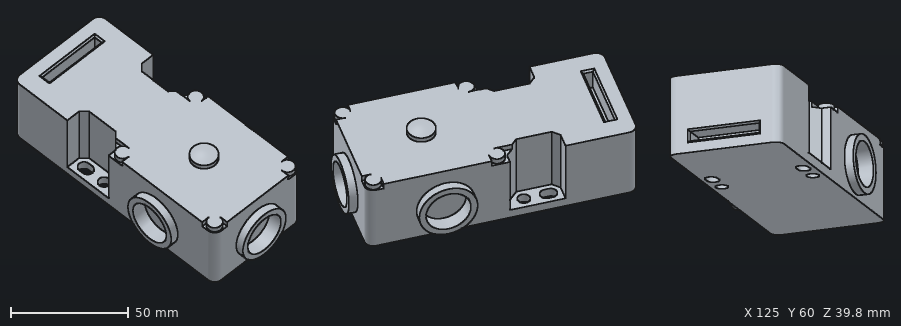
import cadquery as cq

port_projection = 4.0
total_length = 125.0
total_width = 60.0
total_height = 39.8
body_length = total_length - port_projection
body_width = total_width - 2 * port_projection
body_height = 35.0
corner_radius = 4.0
side_y = body_width / 2

port_diameter = 26.0
port_bore_diameter = 20.0
port_bore_depth = 7.0
port_x = 85.9
port_z = 15.0

slot_length = 31.6
slot_width = 4.2
slot_chamfer = 0.9
slot_depth = 10.0
top_slot_x = 9.5
end_slot_z = 7.5

recess_start = 32.5
recess_end = 57.2
recess_depth = 10.1
recess_start_chamfer = 3.0
recess_end_chamfer = 5.9
flange_thickness = 4.5
mount_hole_diameter = 5.5
mount_slot_length = 7.6
mount_slot_x = 38.5
mount_hole_x = 49.5
mount_inset = 5.1

screw_radius = 3.5
screw_height = 2.6
cover_screw_inset = 4.0
middle_screw_x = 61.9
end_screw_x = body_length - cover_screw_inset
head_screw_x = 27.5
head_screw_inset = 6.0

lamp_diameter = 12.5
lamp_x = 88.8
lamp_rim_height = 2.2
lamp_gap = 0.4
lamp_base_z = body_height + lamp_gap
lamp_height = total_height - lamp_base_z


def block():
    return (
        cq.Workplane("XY")
        .box(body_length, body_width, body_height, centered=(False, True, False))
        .edges("|Z")
        .fillet(corner_radius)
    )


def port_planes():
    """Planes on the outer ends of the three ports, facing away from the housing."""
    y_end = total_width / 2
    return [
        cq.Plane((port_x, -y_end, port_z), (1, 0, 0), (0, -1, 0)),
        cq.Plane((port_x, y_end, port_z), (1, 0, 0), (0, 1, 0)),
        cq.Plane((total_length, 0, port_z), (0, 1, 0), (1, 0, 0)),
    ]


def port_collar(plane):
    return cq.Workplane(plane).circle(port_diameter / 2).extrude(-port_projection)


def port_bore(plane):
    return cq.Workplane(plane).circle(port_bore_diameter / 2).extrude(-port_bore_depth)


def key_slot(plane):
    """Slot with a chamfered mouth; the plane faces outward, its x axis along the slot."""
    mouth_length = slot_length + 2 * slot_chamfer
    mouth_width = slot_width + 2 * slot_chamfer
    mouth = (
        cq.Workplane(plane)
        .rect(mouth_length, mouth_width)
        .workplane(offset=-slot_chamfer)
        .rect(slot_length, slot_width)
        .loft(ruled=True)
    )
    shaft = cq.Workplane(plane).rect(slot_length, slot_width).extrude(-slot_depth)
    return mouth.union(shaft)


def side_recess():
    """Recess in the -Y side, open at the top, with mounting holes through its flange."""
    back_y = recess_depth - side_y
    opening = (
        cq.Workplane("XY", origin=(0, 0, flange_thickness))
        .moveTo(recess_start, -side_y)
        .lineTo(recess_start, back_y - recess_start_chamfer)
        .lineTo(recess_start + recess_start_chamfer, back_y)
        .lineTo(recess_end - recess_end_chamfer, back_y)
        .lineTo(recess_end, back_y - recess_end_chamfer)
        .lineTo(recess_end, -side_y)
        .close()
        .extrude(body_height - flange_thickness)
    )
    mount_y = mount_inset - side_y
    round_hole = (
        cq.Workplane("XY")
        .center(mount_hole_x, mount_y)
        .circle(mount_hole_diameter / 2)
        .extrude(flange_thickness)
    )
    slotted_hole = (
        cq.Workplane("XY")
        .center(mount_slot_x, mount_y)
        .slot2D(mount_slot_length, mount_hole_diameter)
        .extrude(flange_thickness)
    )
    return opening.union(round_hole).union(slotted_hole)


def screw_pocket(screw_x, far_x, near_direction):
    """Pocket at a -Y cover screw: rounded about the screw on one side, open out to far_x."""
    screw_y = cover_screw_inset - side_y
    closed_x = screw_x + near_direction * screw_radius
    arc_reach = screw_radius / 2**0.5
    return (
        cq.Workplane("XY", origin=(0, 0, body_height - screw_height))
        .moveTo(far_x, -side_y)
        .lineTo(closed_x, -side_y)
        .lineTo(closed_x, screw_y)
        .threePointArc(
            (screw_x + near_direction * arc_reach, screw_y + arc_reach),
            (screw_x, screw_y + screw_radius),
        )
        .lineTo(far_x, screw_y + screw_radius)
        .close()
        .extrude(screw_height)
    )


def screw_head(x, y):
    return (
        cq.Workplane("XY", origin=(x, y, body_height - screw_height))
        .circle(screw_radius)
        .extrude(screw_height)
    )


def make_housing():
    body = block()
    for plane in port_planes():
        body = body.union(port_collar(plane)).cut(port_bore(plane))

    body = body.cut(key_slot(cq.Plane((top_slot_x, 0, body_height), (0, 1, 0), (0, 0, 1))))
    body = body.cut(key_slot(cq.Plane((0, 0, end_slot_z), (0, 1, 0), (-1, 0, 0))))

    side_cuts = [
        side_recess(),
        screw_pocket(middle_screw_x, recess_end - recess_end_chamfer, 1),
        screw_pocket(end_screw_x, body_length, -1),
    ]
    for side_cut in side_cuts:
        body = body.cut(side_cut).cut(side_cut.mirror("XZ"))

    screw_places = [
        (head_screw_x, head_screw_inset),
        (middle_screw_x, cover_screw_inset),
        (end_screw_x, cover_screw_inset),
    ]
    for x, inset in screw_places:
        for side in (-1, 1):
            body = body.union(screw_head(x, side * (side_y - inset)), clean=False)
    return body


def make_lamp():
    """Round lamp with a domed top, set just clear of the housing top."""
    lamp_radius = lamp_diameter / 2
    dome_height = lamp_height - lamp_rim_height
    sphere_radius = (lamp_radius**2 + dome_height**2) / (2 * dome_height)
    mid_x = lamp_radius / 2
    mid_z = lamp_height - sphere_radius + (sphere_radius**2 - mid_x**2) ** 0.5
    return (
        cq.Workplane("XZ", origin=(lamp_x, 0, lamp_base_z))
        .lineTo(lamp_radius, 0)
        .lineTo(lamp_radius, lamp_rim_height)
        .threePointArc((mid_x, mid_z), (0, lamp_height))
        .close()
        .revolve(360, (0, 0, 0), (0, 1, 0))
    )


housing = make_housing()
lamp = make_lamp()

result = cq.Compound.makeCompound([housing.solids().val(), lamp.val()])